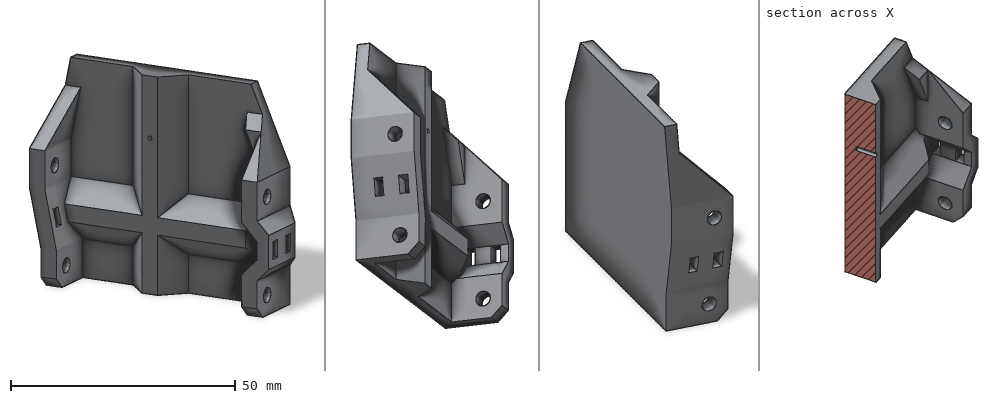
import cadquery as cq

width = 61.1
height = 50.6
depth = 15.1
plate = 3.0
wall = 4.0

left_foot_x = 2.95
left_top_x = 3.8
right_top_x = 49.85
bump_rise = 2.95
right_x = width - bump_rise
left_bend_low_z = 9.15
left_bend_high_z = 22.9
shoulder_z = 31.9
foot_chamfer = 2.55

rib_depth = 8.0
crest_half = 2.0
vertical_rib_x = 26.8
horizontal_rib_z = 16.0
rib_height = rib_depth - plate
base_half = crest_half + rib_height

bump_outer_half = 4.0
bump_inner_half = crest_half
right_inner_x = right_x - wall
rib_end_drop = 2.95

bolt_diameter = 3.4
bolt_depth = 10.5
bolt_heights = (4.65, 27.45)
slot_spans = ((rib_depth - rib_end_drop, 7.1), (10.95, 13.15))
pin_diameter = 1.0
pin_z = 36.2
pin_hole_depth = rib_height


def extrude_forward(points, distance):
    """Extrude an XZ outline from the back face toward -Y."""
    return cq.Workplane("XZ").polyline(points).close().extrude(distance)


def extrude_across(points):
    """Extrude a YZ outline over the full width."""
    return cq.Workplane("YZ").polyline(points).close().extrude(width)


def box_between(x, y, z):
    """Box spanning the given (low, high) limits on each axis."""
    size = (x[1] - x[0], y[1] - y[0], z[1] - z[0])
    return cq.Workplane("XY").box(*size, centered=False).translate((x[0], y[0], z[0]))


def bump_path(base_x, peak_x, peak_half):
    """Points of a 45 degree bump, from bottom to top."""
    base_half_height = peak_half + peak_x - base_x
    return [
        (base_x, horizontal_rib_z - base_half_height),
        (peak_x, horizontal_rib_z - peak_half),
        (peak_x, horizontal_rib_z + peak_half),
        (base_x, horizontal_rib_z + base_half_height),
    ]


left_edge = [
    (left_foot_x, 0),
    (left_foot_x, left_bend_low_z),
    (0, left_bend_high_z),
    (0, shoulder_z),
    (left_top_x, height),
]
right_edge = [
    (right_x, 0),
    *bump_path(right_x, width, bump_outer_half),
    (right_x, shoulder_z),
    (right_top_x, height),
]
outline = left_edge + right_edge[::-1]

left_inner = [(x + wall, z) for x, z in left_edge]
left_wall = extrude_forward(left_edge + left_inner[::-1], depth)

right_inner = [
    (right_inner_x, 0),
    *bump_path(right_inner_x, right_x, bump_inner_half),
    (right_inner_x, height),
]
inner_space = [(0, 0), *right_inner, (0, height)]
right_wall = extrude_forward(outline, depth).cut(extrude_forward(inner_space, depth))

edge_slope = (right_x - right_top_x) / (height - shoulder_z)
strip_top_z = shoulder_z + wall / edge_slope
strip_depth = shoulder_z + depth - strip_top_z
strip = extrude_forward(
    [
        (right_inner_x, shoulder_z),
        (right_x, shoulder_z),
        (right_top_x, height),
        (right_top_x - wall, height),
    ],
    strip_depth,
)

side_profile = extrude_across(
    [
        (0, 0),
        (foot_chamfer - depth, 0),
        (-depth, foot_chamfer),
        (-depth, shoulder_z),
        (-plate, shoulder_z + depth - plate),
        (0, shoulder_z + depth - plate),
    ]
)
walls = left_wall.union(right_wall).union(strip).intersect(side_profile)

bolt_holes = (
    cq.Workplane("YZ")
    .pushPoints([(-bolt_depth, z) for z in bolt_heights])
    .circle(bolt_diameter / 2)
    .extrude(width)
)
walls = walls.cut(bolt_holes)
slot_z = (horizontal_rib_z - crest_half, horizontal_rib_z + crest_half)
for near, far in slot_spans:
    walls = walls.cut(box_between((0, width), (-far, -near), slot_z))


def rib_profile(centre):
    """Trapezoid of a rib as (across, y) points, from the back face to the crest."""
    return [
        (centre - base_half, 0),
        (centre - base_half, -plate),
        (centre - crest_half, -rib_depth),
        (centre + crest_half, -rib_depth),
        (centre + base_half, -plate),
        (centre + base_half, 0),
    ]


vertical_rib = cq.Workplane("XY").polyline(rib_profile(vertical_rib_x)).close().extrude(height)
horizontal_rib = extrude_across([(y, z) for z, y in rib_profile(horizontal_rib_z)])

rib_plan = (
    cq.Workplane("XY")
    .polyline(
        [
            (0, 0),
            (0, -rib_depth),
            (right_inner_x - rib_end_drop, -rib_depth),
            (right_inner_x, rib_end_drop - rib_depth),
            (right_x, rib_end_drop - rib_depth),
            (right_x, 0),
        ]
    )
    .close()
    .extrude(height)
)
inside_outline = left_inner[:-1] + right_inner[::-1]
horizontal_rib = horizontal_rib.intersect(rib_plan).intersect(extrude_forward(inside_outline, depth))

bump_chamfer = (
    cq.Workplane("XY")
    .polyline([(right_x, 0), (width, 0), (width, -bump_rise)])
    .close()
    .extrude(height)
)

pin_hole = (
    cq.Workplane("XZ", origin=(vertical_rib_x, -rib_depth, pin_z))
    .circle(pin_diameter / 2)
    .extrude(-pin_hole_depth)
)

result = (
    extrude_forward(outline, plate)
    .union(walls)
    .union(vertical_rib)
    .union(horizontal_rib)
    .cut(bump_chamfer)
    .cut(pin_hole)
)